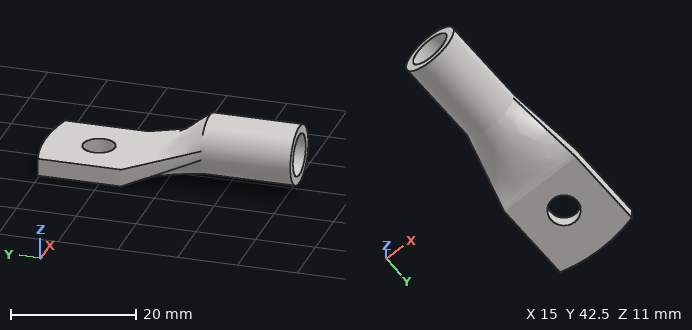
import cadquery as cq
import math

total_length = 42.5
palm_width = 15.0
palm_thickness = 3.0
palm_corner_drop = 1.0
barrel_diameter = 10.0
barrel_length = 15.0
bore_diameter = 7.0
overall_height = 11.0
neck_length = 12.5
hole_diameter = 5.3
hole_to_palm_end = 9.0
hollow_depth = 1.35
neck_steps = 5
curve_steps = 8
corner_angle = 9.0

barrel_radius = barrel_diameter / 2
barrel_axis_z = overall_height - barrel_radius
palm_start = barrel_length + neck_length
half_width = palm_width / 2


def make_barrel():
    return cq.Workplane("XZ", origin=(0, 0, barrel_axis_z)).circle(barrel_radius).extrude(-barrel_length)


def hollow_profile(along):
    """Sag from 0 at the palm to 1 at its deepest, a third of the way, and back to 0 at the rim."""
    return 27 / 4 * along * (1 - along) ** 2


def rim_edge(start, end):
    """Arc of the barrel rim between two angles in degrees."""
    points = []
    for angle in (start, (start + end) / 2, end):
        a = math.radians(angle)
        x = barrel_radius * math.cos(a)
        z = barrel_axis_z + barrel_radius * math.sin(a)
        points.append(cq.Vector(x, barrel_length, z))
    return cq.Edge.makeThreePointArc(*points)


def blended_edge(palm, rim, along, depth):
    """Curve part of the way from a palm edge to a rim arc, sagging by depth in its middle."""
    points = []
    for i in range(curve_steps + 1):
        across = i / curve_steps
        sag = depth * 4 * across * (1 - across)
        straight = palm.positionAt(across) * (1 - along) + rim.positionAt(across) * along
        points.append(straight - cq.Vector(0, 0, sag))
    return cq.Edge.makeSpline(points)


def make_neck():
    """Smooth loft from the rectangular palm end to the round barrel rim, hollowed on top."""
    corners = [
        cq.Vector(half_width, palm_start, 0),
        cq.Vector(half_width, palm_start, palm_thickness),
        cq.Vector(-half_width, palm_start, palm_thickness),
        cq.Vector(-half_width, palm_start, 0),
    ]
    palm_edges = [cq.Edge.makeLine(corners[i], corners[(i + 1) % 4]) for i in range(4)]
    rim_angles = [-corner_angle, corner_angle, 180 - corner_angle, 180 + corner_angle, 360 - corner_angle]
    rim_edges = [rim_edge(start, end) for start, end in zip(rim_angles, rim_angles[1:])]
    top = 1

    sections = [cq.Wire.assembleEdges(palm_edges)]
    for step in range(1, neck_steps):
        along = step / neck_steps
        edges = []
        for side in range(4):
            depth = hollow_depth * hollow_profile(along) if side == top else 0
            edges.append(blended_edge(palm_edges[side], rim_edges[side], along, depth))
        sections.append(cq.Wire.assembleEdges(edges))
    sections.append(cq.Wire.assembleEdges(rim_edges))
    return cq.Workplane(cq.Solid.makeLoft(sections))


def make_palm():
    corner_y = total_length - palm_corner_drop
    return (
        cq.Workplane("XY")
        .moveTo(-half_width, palm_start)
        .lineTo(half_width, palm_start)
        .lineTo(half_width, corner_y)
        .threePointArc((0, total_length), (-half_width, corner_y))
        .close()
        .extrude(palm_thickness)
    )


bore = cq.Workplane("XZ", origin=(0, 0, barrel_axis_z)).circle(bore_diameter / 2).extrude(-barrel_length)
bolt_hole = (
    cq.Workplane("XY")
    .center(0, total_length - hole_to_palm_end)
    .circle(hole_diameter / 2)
    .extrude(palm_thickness)
)

result = make_barrel().union(make_neck()).union(make_palm()).cut(bore).cut(bolt_hole)